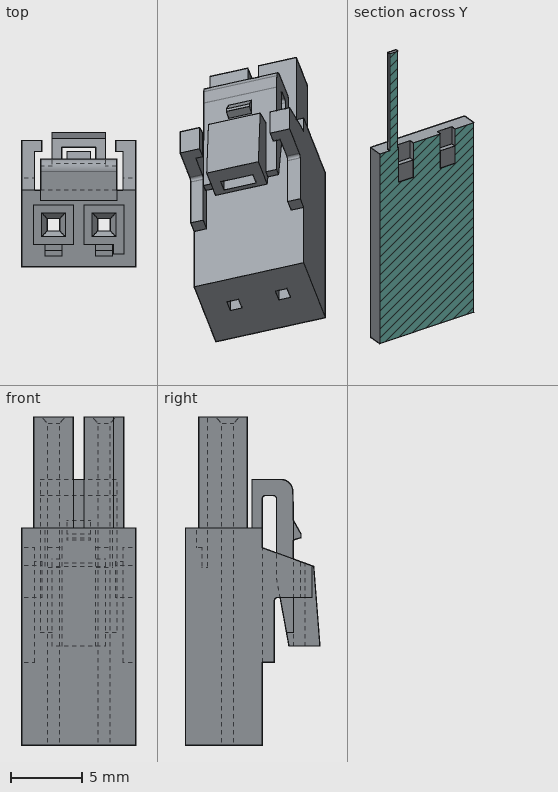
import cadquery as cq


HOUSING_WIDTH = 8.0
HOUSING_DEPTH = 5.38
HOUSING_HEIGHT = 15.23
OVERALL_HEIGHT = 23.0

TOWER_PITCH = 3.55
TOWER_SIDE = 2.78
TOWER_FRONT_Y = 1.56
TOWER_CENTER_Y = TOWER_FRONT_Y + TOWER_SIDE / 2
TOWER_XS = (-TOWER_PITCH / 2, TOWER_PITCH / 2)
KEY_RIB_WIDTH = 0.71
KEY_RIB_FRONT_Y = 0.92

PASSAGE_SIDE = 0.85
FUNNEL_SIDE = 1.65
FUNNEL_DEPTH = 0.45

POCKET_WIDTH = 1.22
POCKET_FRONT_Y = 0.78
POCKET_STEP_Y = 1.15
POCKET_STEP_DEPTH = 1.38
POCKET_DEPTH = 2.75

GUARD_THICKNESS = 0.92
GUARD_BACK_Y = 8.85
GUARD_BOTTOM_Z = 10.35
GUARD_FOOT_Y = 6.23
GUARD_FOOT_Z = 5.82
GUARD_FILLET = 0.23
HOOK_WIDTH = 1.43
HOOK_FRONT_Y = 8.07

SLOPE_START_Z = 13.85
SLOPE_END_Y = 9.0
SLOPE_END_Z = 12.54
SLOPE = (SLOPE_END_Z - SLOPE_START_Z) / (SLOPE_END_Y - HOUSING_DEPTH)

STRAP_WIDTH = 5.34
STRAP_FRONT_Y = 4.65
STRAP_TOP_Z = 18.63
STRAP_BOTTOM_Z = 7.9
STRAP_INNER_Y = 6.37
STRAP_OUTER_Y = 7.57
STRAP_TOP_OUTER_Y = 7.5
STRAP_LEAN_Z = 16.55
STRAP_CORNER_RADIUS = 0.85
STRAP_GAP_TOP_Z = 17.48
STRAP_GAP_FILLET = 0.2

LEVER_WIDTH = 3.77
LEVER_BACK_Y = 9.43
LEVER_BOTTOM_Z = 6.95
LEVER_BOTTOM_FRONT_Y = 7.25
LEVER_BEND_Z = 11.73
LEVER_LEAN = (LEVER_BOTTOM_FRONT_Y - STRAP_INNER_Y) / (LEVER_BEND_Z - LEVER_BOTTOM_Z)
WINDOW_WIDTH = 2.35
WINDOW_BACK_Y = 8.37

CATCH_WIDTH = 1.68
CATCH_TIP_Y = 8.1
CATCH_TOP_Z = 15.75
CATCH_TIP_TOP_Z = 14.81
CATCH_TIP_BOTTOM_Z = 14.54
CATCH_BOTTOM_Z = 14.38


def slope_z(y):
    """Height of the shared slope at depth y."""
    return SLOPE_START_Z + SLOPE * (y - HOUSING_DEPTH)


def lever_front_y(z):
    """Depth of the leaning front face of the lever at height z."""
    return LEVER_BOTTOM_FRONT_Y - LEVER_LEAN * (z - LEVER_BOTTOM_Z)


def block(x_range, y_range, z_range):
    """Box spanning the given ranges."""
    (x0, x1), (y0, y1), (z0, z1) = x_range, y_range, z_range
    return cq.Workplane("XY").box(x1 - x0, y1 - y0, z1 - z0, centered=False).translate((x0, y0, z0))


def centered_range(center, size):
    return (center - size / 2, center + size / 2)


def extrude_profile(yz_points, x_range):
    """Solid with a closed (y, z) outline spanning x_range."""
    x0, x1 = x_range
    return cq.Workplane("YZ").polyline(yz_points).close().extrude(x1 - x0).translate((x0, 0, 0))


def make_housing():
    return block(
        centered_range(0, HOUSING_WIDTH),
        (0, HOUSING_DEPTH),
        (0, HOUSING_HEIGHT),
    )


def make_towers():
    """Two square towers, the right one with a key rib on its outer front edge."""
    tower_z = (HOUSING_HEIGHT, OVERALL_HEIGHT)
    tower_y = centered_range(TOWER_CENTER_Y, TOWER_SIDE)
    left, right = [block(centered_range(x, TOWER_SIDE), tower_y, tower_z) for x in TOWER_XS]
    rib_x1 = TOWER_XS[1] + TOWER_SIDE / 2
    rib = block((rib_x1 - KEY_RIB_WIDTH, rib_x1), (KEY_RIB_FRONT_Y, TOWER_FRONT_Y), tower_z)
    return left, right.union(rib)


def make_passage(x):
    """Square through passage with a tapered mouth at the top of a tower."""
    passage = block(
        centered_range(x, PASSAGE_SIDE),
        centered_range(TOWER_CENTER_Y, PASSAGE_SIDE),
        (0, OVERALL_HEIGHT),
    )
    funnel = (
        cq.Workplane("XY", origin=(x, TOWER_CENTER_Y, OVERALL_HEIGHT))
        .rect(FUNNEL_SIDE, FUNNEL_SIDE)
        .workplane(offset=-FUNNEL_DEPTH)
        .rect(PASSAGE_SIDE, PASSAGE_SIDE)
        .loft(ruled=True)
    )
    return passage.union(funnel)


def make_pocket(x):
    """Pocket in the housing top, shallower along its front half."""
    step_z = HOUSING_HEIGHT - POCKET_STEP_DEPTH
    floor_z = HOUSING_HEIGHT - POCKET_DEPTH
    outline = [
        (POCKET_FRONT_Y, HOUSING_HEIGHT),
        (POCKET_FRONT_Y, step_z),
        (POCKET_STEP_Y, step_z),
        (POCKET_STEP_Y, floor_z),
        (TOWER_FRONT_Y, floor_z),
        (TOWER_FRONT_Y, HOUSING_HEIGHT),
    ]
    return extrude_profile(outline, centered_range(x, POCKET_WIDTH))


def make_guard():
    """Left guard wall with its inward hook along the back edge."""
    outer_x = -HOUSING_WIDTH / 2
    outline = [
        (HOUSING_DEPTH, SLOPE_START_Z),
        (GUARD_BACK_Y, slope_z(GUARD_BACK_Y)),
        (GUARD_BACK_Y, GUARD_BOTTOM_Z),
        (GUARD_FOOT_Y, GUARD_BOTTOM_Z),
        (GUARD_FOOT_Y, GUARD_FOOT_Z),
        (HOUSING_DEPTH, GUARD_FOOT_Z),
    ]
    wall = extrude_profile(outline, (outer_x, outer_x + GUARD_THICKNESS))
    inner_corner = cq.selectors.NearestToPointSelector(
        (outer_x + GUARD_THICKNESS / 2, GUARD_FOOT_Y, GUARD_BOTTOM_Z)
    )
    wall = wall.edges(inner_corner).fillet(GUARD_FILLET)
    hook_outline = [
        (HOOK_FRONT_Y, slope_z(HOOK_FRONT_Y)),
        (GUARD_BACK_Y, slope_z(GUARD_BACK_Y)),
        (GUARD_BACK_Y, GUARD_BOTTOM_Z),
        (HOOK_FRONT_Y, GUARD_BOTTOM_Z),
    ]
    return wall.union(extrude_profile(hook_outline, (outer_x, outer_x + HOOK_WIDTH)))


def make_strap():
    """Latch strap rising from the housing top, folding over and hanging down behind it."""
    outline = [
        (STRAP_FRONT_Y, HOUSING_HEIGHT),
        (STRAP_FRONT_Y, STRAP_TOP_Z),
        (STRAP_TOP_OUTER_Y, STRAP_TOP_Z),
        (STRAP_OUTER_Y, STRAP_LEAN_Z),
        (STRAP_OUTER_Y, STRAP_BOTTOM_Z),
        (lever_front_y(STRAP_BOTTOM_Z), STRAP_BOTTOM_Z),
        (STRAP_INNER_Y, LEVER_BEND_Z),
        (STRAP_INNER_Y, STRAP_GAP_TOP_Z),
        (HOUSING_DEPTH, STRAP_GAP_TOP_Z),
        (HOUSING_DEPTH, HOUSING_HEIGHT),
    ]
    strap = extrude_profile(outline, centered_range(0, STRAP_WIDTH))
    outer_corner = cq.selectors.NearestToPointSelector((0, STRAP_TOP_OUTER_Y, STRAP_TOP_Z))
    strap = strap.edges(outer_corner).fillet(STRAP_CORNER_RADIUS)
    for y in (HOUSING_DEPTH, STRAP_INNER_Y):
        gap_corner = cq.selectors.NearestToPointSelector((0, y, STRAP_GAP_TOP_Z))
        strap = strap.edges(gap_corner).fillet(STRAP_GAP_FILLET)
    return strap


def make_lever():
    """Finger lever on the strap, with a vertical window next to the strap."""
    outline = [
        (STRAP_INNER_Y, slope_z(STRAP_INNER_Y)),
        (SLOPE_END_Y, SLOPE_END_Z),
        (LEVER_BACK_Y, LEVER_BOTTOM_Z),
        (LEVER_BOTTOM_FRONT_Y, LEVER_BOTTOM_Z),
        (STRAP_INNER_Y, LEVER_BEND_Z),
    ]
    lever = extrude_profile(outline, centered_range(0, LEVER_WIDTH))
    window = block(
        centered_range(0, WINDOW_WIDTH),
        (STRAP_OUTER_Y, WINDOW_BACK_Y),
        (LEVER_BOTTOM_Z, SLOPE_START_Z),
    )
    return lever.cut(window)


def make_catch():
    """Wedge-shaped catch on the outer face of the strap."""
    outline = [
        (STRAP_OUTER_Y, CATCH_TOP_Z),
        (CATCH_TIP_Y, CATCH_TIP_TOP_Z),
        (CATCH_TIP_Y, CATCH_TIP_BOTTOM_Z),
        (STRAP_OUTER_Y, CATCH_BOTTOM_Z),
    ]
    return extrude_profile(outline, centered_range(0, CATCH_WIDTH))


result = make_housing()
for tower in make_towers():
    result = result.union(tower)

left_guard = make_guard()
result = result.union(left_guard).union(left_guard.mirror("YZ"))

for latch_piece in (make_strap(), make_lever(), make_catch()):
    result = result.union(latch_piece)

for tower_x in TOWER_XS:
    result = result.cut(make_passage(tower_x)).cut(make_pocket(tower_x))